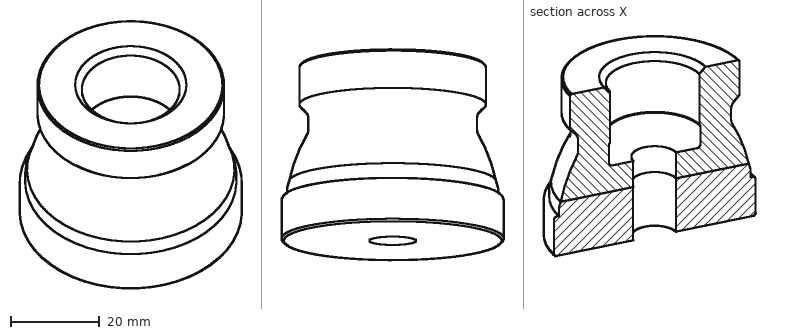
import cadquery as cq

height = 40.0
seam_z = 13.5
seam_radius = 23.3
through_hole_diameter = 10.5

foot_diameter = 50.0
foot_height = 10.0
foot_top_fillet = 0.9
foot_bottom_chamfer = 0.5
collar_diameter = 47.5
collar_top_z = 11.95
collar_blend = 2.0

dome_mid_radius = 21.85
dome_mid_z = 18.55
neck_diameter = 38.0
neck_bottom_z = 24.6
neck_blend = 2.0
rim_diameter = 42.0
rim_bottom_z = 31.1
rim_chamfer = 0.4

mouth_diameter = 25.0
bore_diameter = 22.0
relief_diameter = 22.5
relief_z = 25.75
relief_taper = 0.35
bore_floor_z = 20.0
floor_fillet = 0.75


def blend_circle(body, z, radius):
    """Fillet the circular edge of a turned body that lies at height z."""
    tolerance = 0.005
    reach = foot_diameter
    edge = cq.selectors.BoxSelector(
        (-reach, -reach, z - tolerance), (reach, reach, z + tolerance), boundingbox=True
    )
    return body.edges(edge).fillet(radius)


def drill_through(body):
    """Cut the axial hole through the full height."""
    return body.cut(cq.Workplane("XY").circle(through_hole_diameter / 2).extrude(height))


def make_base():
    foot_radius = foot_diameter / 2
    collar_radius = collar_diameter / 2
    body = (
        cq.Workplane("XZ")
        .lineTo(foot_radius - foot_bottom_chamfer, 0)
        .lineTo(foot_radius, foot_bottom_chamfer)
        .lineTo(foot_radius, foot_height - foot_top_fillet)
        .radiusArc((foot_radius - foot_top_fillet, foot_height), -foot_top_fillet)
        .lineTo(collar_radius, foot_height)
        .lineTo(collar_radius, collar_top_z)
        .lineTo(seam_radius, seam_z)
        .lineTo(0, seam_z)
        .close()
        .revolve(360, (0, 0), (0, 1))
    )
    body = blend_circle(body, collar_top_z, collar_blend)
    return drill_through(body)


def make_bore():
    """Bore volume: 45 degree mouth, straight bore, relief and rounded floor."""
    bore_radius = bore_diameter / 2
    mouth_radius = mouth_diameter / 2
    relief_radius = relief_diameter / 2
    mouth_depth = mouth_radius - bore_radius
    return (
        cq.Workplane("XZ")
        .moveTo(0, bore_floor_z)
        .lineTo(relief_radius - floor_fillet, bore_floor_z)
        .radiusArc((relief_radius, bore_floor_z + floor_fillet), -floor_fillet)
        .lineTo(relief_radius, relief_z - relief_taper)
        .lineTo(bore_radius, relief_z)
        .lineTo(bore_radius, height - mouth_depth)
        .lineTo(mouth_radius, height)
        .lineTo(0, height)
        .close()
        .revolve(360, (0, 0), (0, 1))
    )


def make_head():
    neck_radius = neck_diameter / 2
    rim_radius = rim_diameter / 2
    neck_top_z = rim_bottom_z - (rim_radius - neck_radius)
    body = (
        cq.Workplane("XZ")
        .moveTo(0, seam_z)
        .lineTo(seam_radius, seam_z)
        .threePointArc((dome_mid_radius, dome_mid_z), (neck_radius, neck_bottom_z))
        .lineTo(neck_radius, neck_top_z)
        .lineTo(rim_radius, rim_bottom_z)
        .lineTo(rim_radius, height - rim_chamfer)
        .lineTo(rim_radius - rim_chamfer, height)
        .lineTo(0, height)
        .close()
        .revolve(360, (0, 0), (0, 1))
    )
    for corner_z in (neck_bottom_z, neck_top_z):
        body = blend_circle(body, corner_z, neck_blend)
    return drill_through(body.cut(make_bore()))


base = make_base()
head = make_head()

result = cq.Compound.makeCompound([base.solids().val(), head.solids().val()])